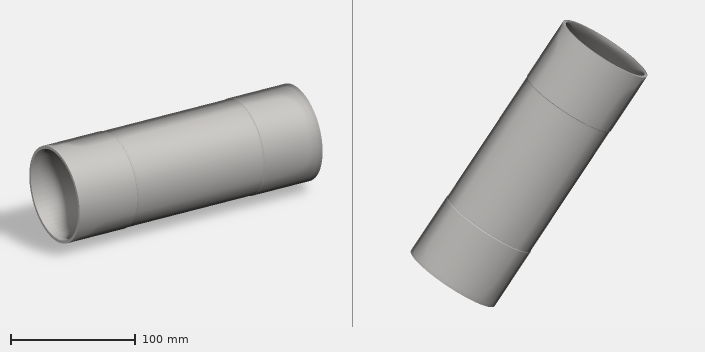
import cadquery as cq

length = 226.0
sleeve_length = 54.0
sleeve_diameter = 81.0
middle_diameter = 80.0
bore_diameter = 76.0

slope_length = (sleeve_diameter - middle_diameter) / 2

half_length = length / 2
sleeve_radius = sleeve_diameter / 2
middle_radius = middle_diameter / 2
bore_radius = bore_diameter / 2
slope_end_y = half_length - sleeve_length
slope_start_y = slope_end_y + slope_length

wall_section = (
    cq.Workplane("XY")
    .moveTo(bore_radius, -half_length)
    .lineTo(sleeve_radius, -half_length)
    .lineTo(sleeve_radius, -slope_start_y)
    .lineTo(middle_radius, -slope_end_y)
    .lineTo(middle_radius, slope_end_y)
    .lineTo(sleeve_radius, slope_start_y)
    .lineTo(sleeve_radius, half_length)
    .lineTo(bore_radius, half_length)
    .close()
)

result = wall_section.revolve(360, (0, 0, 0), (0, 1, 0))